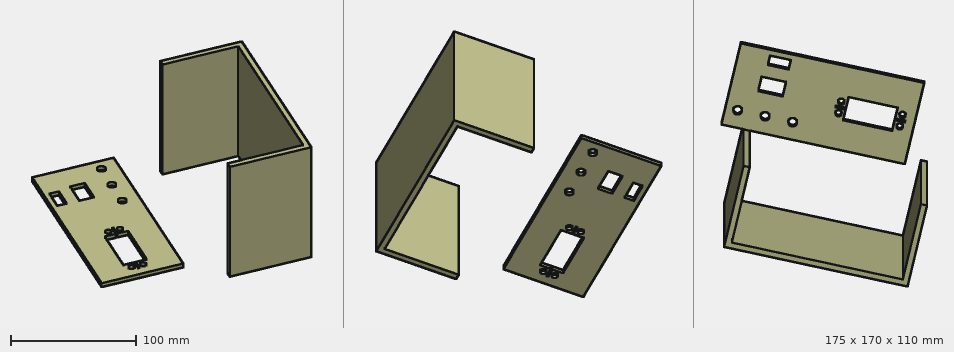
import cadquery as cq

body_width = 150.0
body_depth = 70.0
shift_x = 25.0
gap_y = 30.0

cover_height = 110.0
cover_wall = 5.0

panel_thickness = 4.0

knob_hole_diameter = 7.0
knob_hole_count = 3
first_knob_x = 10.0
knob_row_length = 45.0
knob_pitch = knob_row_length / (knob_hole_count - 1)
knob_row_y = 55.5

display_x = 114.0
display_y = body_depth / 2
display_width = 40.0
display_height = 20.0
screw_hole_diameter = 5.0
screw_pitch_x = 50.0
screw_pitch_y = 10.0
slot_span = 56.5
slot_height = 1.4

switch_x = first_knob_x + knob_pitch
switch_y = 30.0
switch_width = 20.0
switch_height = 12.5

connector_x = 33.6
connector_y = 9.0
connector_width = 17.0
connector_height = 8.0


def make_cover():
    """U-shaped cover standing behind the panel, with its open side toward -Y."""
    front_y = body_depth + gap_y
    block = cq.Workplane("XY").box(body_width, body_depth, cover_height, centered=False)
    cavity = (
        cq.Workplane("XY")
        .box(body_width - 2 * cover_wall, body_depth - cover_wall, cover_height, centered=False)
        .translate((cover_wall, 0, 0))
    )
    return block.cut(cavity).translate((shift_x, front_y, 0))


def cut_opening(panel, x, y, width, height):
    """Cut a rectangular opening centred at (x, y) through the panel."""
    cutter = cq.Workplane("XY").center(x, y).rect(width, height).extrude(panel_thickness)
    return panel.cut(cutter)


def cut_holes(panel, centres, diameter):
    """Cut round holes at the given centres through the panel."""
    cutter = cq.Workplane("XY").pushPoints(centres).circle(diameter / 2).extrude(panel_thickness)
    return panel.cut(cutter)


def cut_display(panel):
    """Cut the display window, the slots at its two sides and its four screw holes."""
    panel = cut_opening(panel, display_x, display_y, display_width, display_height)
    panel = cut_opening(panel, display_x, display_y, slot_span, slot_height)
    screw_centres = [
        (display_x + side_x * screw_pitch_x / 2, display_y + side_y * screw_pitch_y / 2)
        for side_x in (-1, 1)
        for side_y in (-1, 1)
    ]
    return cut_holes(panel, screw_centres, screw_hole_diameter)


def make_panel():
    """Flat front panel with its knob holes, display, switch and connector openings."""
    panel = cq.Workplane("XY").box(body_width, body_depth, panel_thickness, centered=False)
    knob_centres = [(first_knob_x + i * knob_pitch, knob_row_y) for i in range(knob_hole_count)]
    panel = cut_holes(panel, knob_centres, knob_hole_diameter)
    panel = cut_display(panel)
    panel = cut_opening(panel, switch_x, switch_y, switch_width, switch_height)
    return cut_opening(panel, connector_x, connector_y, connector_width, connector_height)


cover = make_cover()
panel = make_panel()

result = cq.Compound.makeCompound([cover.val(), panel.val()])